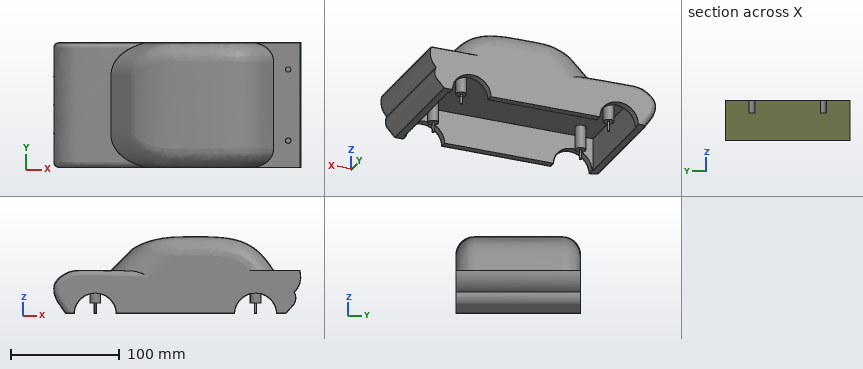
import cadquery as cq
import math

length = 227.2
width = 115.0
roof_height = 70.7
deck_height = 39.5
side_y = width / 2

nose_foot_x = 11.0
nose_foot_angle = 56.0
nose_tip_z = 23.2
nose_brow = (8.9, 35.5)
hood_crest_x = 38.6
hood_end_x = 109.0
hood_end_z = 36.8
hood_fall_angle = 4.0
hood_edge_radius = 5.0

tail_foot_x = 213.4
deck_end_x = 226.3
bumper_mid_z = 33.0
bumper_notch = (221.3, 19.5)
valance_mid = (222.7, 14.0)
valance_foot = (221.3, 8.9)

windshield_angle = 45.0
windshield_foot_x = 52.7
windshield_top_x = 72.7
pillar_radius = 30.0
roof_edge_radius = 17.5
roof_crest_x = 126.1
roof_brow = (91.8, 67.5)
roof_shoulder = (183.0, 61.0)
roof_front_angle = 32.0
roof_rear_x = 202.2
roof_rear_angle = 57.0
cabin_root_z = 22.7

arch_radius = 19.3
arch_centre_z = -0.7
axle_xs = (38.2, 185.7)

wall = 7.0
pocket_top_z = deck_height - wall

mount_y = 32.7
post_diameter = 10.0
post_foot_z = 9.5
pin_diameter = 2.0
deck_hole_diameter = 5.0
deck_hole_x = 215.7
deck_hole_depth = 11.4


def side_outline(start):
    """Start an XZ outline on the +Y side of the body."""
    return cq.Workplane("XZ", origin=(0, side_y, 0)).moveTo(*start)


def direction(angle):
    """Unit vector in the XZ outline plane, at an angle up from +X."""
    return (math.cos(math.radians(angle)), math.sin(math.radians(angle)))


def make_lower_body():
    """Nose, hood, rear deck and tail, with the hood's side edges rounded."""
    body = (
        side_outline((nose_foot_x, 0))
        .spline(
            [(0, nose_tip_z), nose_brow, (hood_crest_x, deck_height), (hood_end_x, hood_end_z)],
            tangents=[
                direction(180 - nose_foot_angle),
                direction(90),
                None,
                direction(0),
                direction(-hood_fall_angle),
            ],
            includeCurrent=True,
        )
        .lineTo(hood_end_x, deck_height)
        .lineTo(deck_end_x, deck_height)
        .threePointArc((length, bumper_mid_z), bumper_notch)
        .threePointArc(valance_mid, valance_foot)
        .lineTo(tail_foot_x, 0)
        .close()
        .extrude(width)
    )
    hood = body.faces(cq.selectors.NearestToPointSelector((hood_crest_x, 0, deck_height)))
    return body.newObject(hood.edges("not |Y").vals()).fillet(hood_edge_radius)


def make_cabin():
    """Cabin with a raked windshield; its root lies inside the lower body."""
    rake = math.tan(math.radians(windshield_angle))
    fall = math.tan(math.radians(roof_rear_angle))
    root_depth = deck_height - cabin_root_z
    windshield_top_z = deck_height + (windshield_top_x - windshield_foot_x) * rake
    cabin = (
        side_outline((windshield_foot_x - root_depth / rake, cabin_root_z))
        .lineTo(windshield_top_x, windshield_top_z)
        .spline(
            [roof_brow, (roof_crest_x, roof_height), roof_shoulder, (roof_rear_x, deck_height)],
            tangents=[
                direction(roof_front_angle),
                None,
                direction(0),
                None,
                direction(-roof_rear_angle),
            ],
            includeCurrent=True,
        )
        .lineTo(roof_rear_x + root_depth / fall, cabin_root_z)
        .close()
        .extrude(width)
    )
    windshield = cabin.faces("<X")
    cabin = cabin.newObject(windshield.edges("not |Y").vals()).fillet(pillar_radius)
    roof = cabin.faces(cq.selectors.NearestToPointSelector((roof_crest_x, 0, roof_height)))
    return cabin.newObject(roof.edges("not >X").vals()).fillet(roof_edge_radius)


def make_arch_cuts():
    """Wheel arches, cut straight across the body."""
    return (
        cq.Workplane("XZ", origin=(0, side_y, 0))
        .pushPoints([(x, arch_centre_z) for x in axle_xs])
        .circle(arch_radius)
        .extrude(width)
    )


def make_pocket():
    """Underside pocket that leaves an even wall around the flat bottom."""
    front_x = nose_foot_x + wall
    rear_x = tail_foot_x - wall
    pocket_width = width - 2 * wall
    return cq.Workplane("XY", origin=(front_x, 0, 0)).box(
        rear_x - front_x, pocket_width, pocket_top_z, centered=(False, True, False)
    )


def make_posts():
    """Stepped posts that hang from the pocket roof down to the bottom plane."""
    root_z = pocket_top_z + wall / 2
    places = [(x, y) for x in axle_xs for y in (-mount_y, mount_y)]
    posts = (
        cq.Workplane("XY", origin=(0, 0, post_foot_z))
        .pushPoints(places)
        .circle(post_diameter / 2)
        .extrude(root_z - post_foot_z)
    )
    pins = cq.Workplane("XY").pushPoints(places).circle(pin_diameter / 2).extrude(post_foot_z)
    return posts.union(pins)


def make_deck_holes():
    """Blind holes in the rear deck."""
    return (
        cq.Workplane("XY", origin=(0, 0, deck_height - deck_hole_depth))
        .pushPoints([(deck_hole_x, -mount_y), (deck_hole_x, mount_y)])
        .circle(deck_hole_diameter / 2)
        .extrude(deck_hole_depth)
    )


result = (
    make_lower_body()
    .union(make_cabin())
    .cut(make_arch_cuts())
    .cut(make_pocket())
    .union(make_posts())
    .cut(make_deck_holes())
    .solids()
)